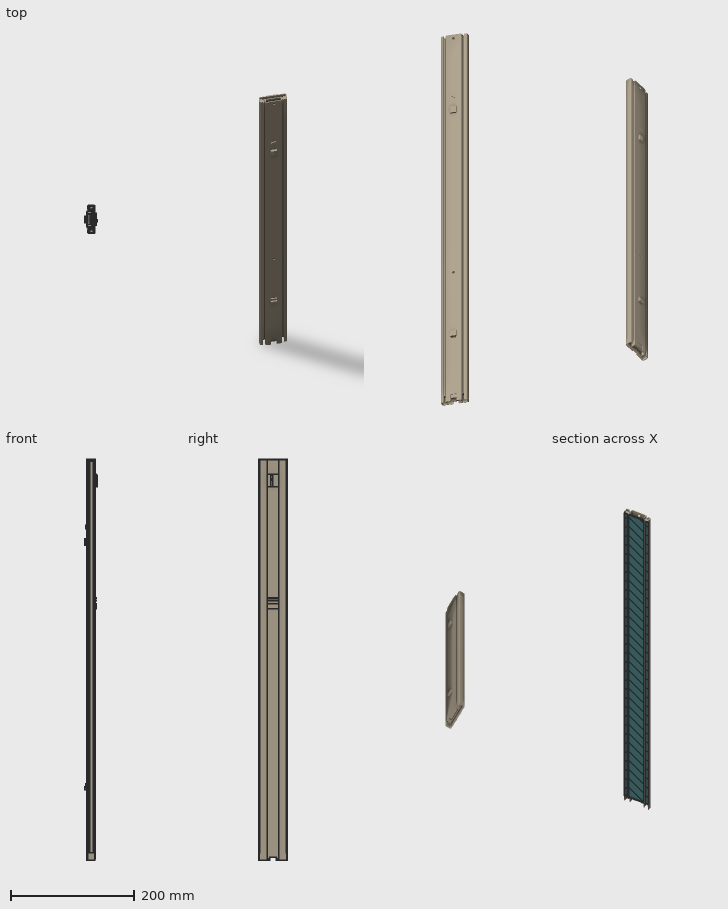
import cadquery as cq


length = 650.0
width = 45.46
depth = 21.01
z_bottom = -length / 2
z_top = length / 2
hook_front = -depth / 2
hook_back = depth / 2

sheet = 1.2
bend_radius = 2.4

outer_front = -5.0
outer_back = 6.1
lip_end = 17.5

middle_front = -4.6
middle_back = 2.7
middle_half_width = 16.7
middle_bottom = z_bottom + 12.0
middle_top = z_top - 3.0

inner_front = -6.9
inner_back = 1.0
inner_half_width = 13.5
inner_shoulder_y = 2.2
inner_shoulder_x = 0.5

retainer_front = -2.2
inner_retainer_back = 0.3
outer_retainer_back = outer_back - bend_radius

notch_half_width = 4.9
outer_notch_height = 4.6
stop_half_width = 8.8
stop_bottom = z_bottom + 6.0
stop_top = middle_bottom + 3.0
stop_back = -0.8

hole_diameter = 4.5
hole_heights = (318.0, -97.0)

latch_front = -8.4
latch_points = ((4.5, 215.5), (-3.0, 218.5), (-3.0, 212.5))
block_half_width = 5.2
block_bottom = 185.5
block_top = 196.5
block_bevel_y = 3.6
block_bevel_x = 0.8
step_front = -8.4
step_half_width = 5.2
step_bottom = -211.0
step_top = -201.0
step_hook_top = -206.0
window_half_width = 4.0
window_height = 2.2

strip_back = 6.9
strip_half_width = 9.5
strip_bottom = z_bottom + 2.5
pad_back = 8.4
pad_half_width = strip_half_width
upper_pad_bottom = 280.5
upper_pad_top = 301.0
hook_spans = ((280.5, 291.0), (294.0, 299.5))
hook_y_low = -3.6
hook_y_high = -0.4
lower_pad_bottom = 82.5
lower_pad_top = 91.0
rib_heights = (95.5, 99.5)
rib_thickness = 1.2


def block(x_span, y_span, z_span):
    """Box between two limits on each axis."""
    spans = (x_span, y_span, z_span)
    sizes = [high - low for low, high in spans]
    return cq.Workplane().box(*sizes, centered=False).translate([low for low, high in spans])


def centred_block(x_span, half_width, z_span):
    return block(x_span, (-half_width, half_width), z_span)


def channel(x_span, half_width, z_span):
    """Box with rounded long edges, hollowed to a tube of sheet thickness."""
    front, back = x_span
    body = centred_block(x_span, half_width, z_span).edges("|Z").fillet(bend_radius)
    cavity = centred_block((front + sheet, back - sheet), half_width - sheet, z_span)
    return body.cut(cavity.edges("|Z").fillet(bend_radius - sheet))


def make_outer():
    z_span = (z_bottom, z_top)
    body = channel((outer_front, outer_back), width / 2, z_span)
    body = body.cut(centred_block((outer_front, outer_front + sheet), lip_end, z_span))
    strip_x = (outer_back, strip_back)
    body = body.union(centred_block(strip_x, strip_half_width, (strip_bottom, z_top)))
    notch_span = (z_bottom, z_bottom + outer_notch_height)
    body = body.cut(centred_block((outer_back - sheet, strip_back), notch_half_width, notch_span))

    pad_x = (outer_back, pad_back)
    body = body.union(centred_block(pad_x, pad_half_width, (upper_pad_bottom, upper_pad_top)))
    for hook_span in hook_spans:
        body = body.union(block((outer_back, hook_back), (hook_y_low, hook_y_high), hook_span))
    body = body.union(centred_block(pad_x, pad_half_width, (lower_pad_bottom, lower_pad_top)))
    for height in rib_heights:
        body = body.union(centred_block(pad_x, pad_half_width, (height, height + rib_thickness)))
    return body


def make_middle():
    """Plain channel open toward -X."""
    z_span = (middle_bottom, middle_top)
    x_span = (middle_front, middle_back)
    body = centred_block(x_span, middle_half_width, z_span)
    body = body.edges("|Z and >X").fillet(bend_radius)
    cavity = centred_block((middle_front, middle_back - sheet), middle_half_width - sheet, z_span)
    body = body.cut(cavity.edges("|Z and >X").fillet(bend_radius - sheet))
    return body


def make_inner_channel():
    """Channel open toward +X with a stepped shoulder at each edge of its web."""
    raised_half_width = inner_half_width - inner_shoulder_y
    outline = [
        (inner_back, inner_half_width),
        (inner_front + inner_shoulder_x, inner_half_width),
        (inner_front + inner_shoulder_x, raised_half_width),
        (inner_front, raised_half_width),
        (inner_front, -raised_half_width),
        (inner_front + inner_shoulder_x, -raised_half_width),
        (inner_front + inner_shoulder_x, -inner_half_width),
        (inner_back, -inner_half_width),
    ]
    body = cq.Workplane().workplane(offset=z_bottom).polyline(outline).close().extrude(length)
    cavity = centred_block((inner_front + sheet, inner_back), inner_half_width - sheet, (z_bottom, z_top))
    return body.cut(cavity)


def make_latch():
    """Small triangular catch."""
    profile = cq.Workplane("YZ").workplane(offset=latch_front).polyline(latch_points).close()
    return profile.extrude(inner_front - latch_front)


def make_bevelled_block():
    """Upper hook block, its front face narrowed by a bevel on each side."""
    outline = [
        (inner_front, block_half_width),
        (hook_front + block_bevel_x, block_half_width),
        (hook_front, block_half_width - block_bevel_y),
        (hook_front, block_bevel_y - block_half_width),
        (hook_front + block_bevel_x, -block_half_width),
        (inner_front, -block_half_width),
    ]
    profile = cq.Workplane().workplane(offset=block_bottom).polyline(outline).close()
    return profile.extrude(block_top - block_bottom)


def make_stepped_hook():
    """Lower hook, standing further out over its bottom half."""
    base = centred_block((step_front, inner_front), step_half_width, (step_bottom, step_top))
    tip = centred_block((hook_front, inner_front), step_half_width, (step_bottom, step_hook_top))
    return base.union(tip)


def make_inner():
    web = (inner_front, inner_front + sheet)
    body = make_inner_channel()

    body = body.cut(centred_block(web, notch_half_width, (z_bottom, middle_bottom)))
    stop_x = (inner_front + sheet, stop_back)
    body = body.union(centred_block(stop_x, stop_half_width, (stop_bottom, stop_top)))

    holes = cq.Workplane("YZ").workplane(offset=inner_front)
    holes = holes.pushPoints([(0, height) for height in hole_heights])
    body = body.cut(holes.circle(hole_diameter / 2).extrude(sheet))

    window_span = (step_bottom - window_height, step_bottom)
    body = body.cut(centred_block(web, window_half_width, window_span))
    return body.union(make_latch()).union(make_bevelled_block()).union(make_stepped_hook())


def make_retainers(y_near, y_far, back):
    """Pair of ball retainer strips filling the raceway on the +Y and -Y sides."""
    x_span = (retainer_front, back)
    z_span = (middle_bottom, middle_top)
    strip = block(x_span, (y_near, y_far), z_span)
    return [strip, strip.mirror("XZ")]


outer_channel = make_outer()
middle_channel = make_middle()
inner_channel = make_inner()
flange_inside = width / 2 - sheet
middle_inside = middle_half_width - sheet
outer_retainers = make_retainers(middle_half_width, flange_inside, outer_retainer_back)
inner_retainers = make_retainers(inner_half_width, middle_inside, inner_retainer_back)

bodies = [outer_channel, middle_channel, inner_channel, *outer_retainers, *inner_retainers]
result = cq.Compound.makeCompound([body.val() for body in bodies])